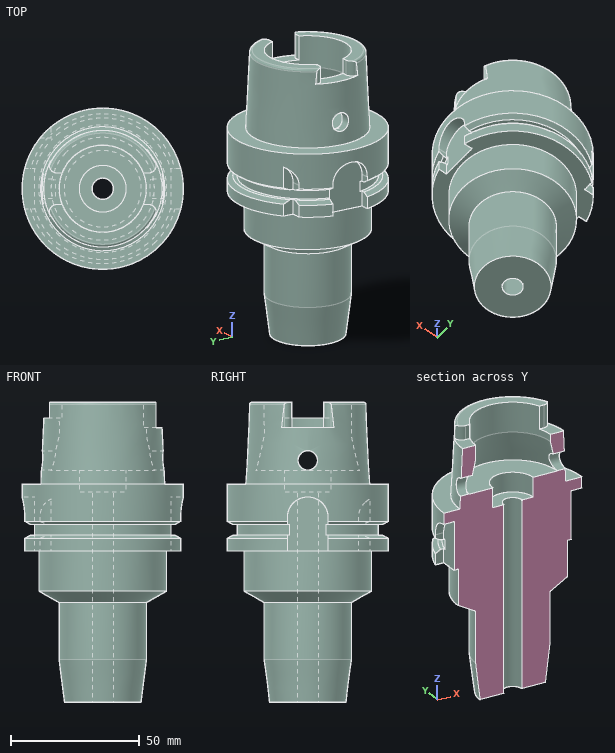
import cadquery as cq
import math

TOTAL_HEIGHT = 117
NOSE_TOP = 16.6
SHANK_TOP = 38.8
BODY_CONE_TOP = 43.3
FLANGE_BOTTOM = 59.0
GROOVE_BOTTOM = 65.2
GROOVE_TOP = 69.3
GROOVE_CHAMFER = 1.3
FLANGE_TOP = 85.1

NOSE_RADIUS = 15.0
SHANK_RADIUS = 17.1
BODY_RADIUS = 24.9
FLANGE_RADIUS = 31.5
GROOVE_RADIUS = 27.6
GROOVE_LIP_RADIUS = 29.2
TAPER_BASE_RADIUS = 24.2
TAPER_TOP_RADIUS = 22.7
RIM_FILLET = 1.0

BORE_RADIUS = 17.0
BORE_LIP_DEPTH = 13.0
UNDERCUT_RADIUS = 20.1
BORE_DEPTH = 26.6
SEAT_RADIUS = 9.1
SEAT_DEPTH = 35.1
THROUGH_RADIUS = 4.1

CROSS_HOLE_RADIUS = 3.7
CROSS_HOLE_Z = TOTAL_HEIGHT - 22.7

RIM_SLOT_WIDTH = 12.3
LEFT_RIM_SLOT_DEPTH = 6.1
RIGHT_RIM_SLOT_DEPTH = 10.0
RIM_SLOT_CORNER_RADIUS = 2.9

KEYWAY_RADIUS = 8.0
KEYWAY_CENTRE_Z = 72.1
KEYWAY_FLOOR_X = 26.7
SIDE_NOTCH_Y = 27.7
SIDE_NOTCH_FLOOR_X = 20.1


def turned_body():
    """Outer shape revolved about Z."""
    outline = [
        (0, 0),
        (NOSE_RADIUS, 0),
        (SHANK_RADIUS, NOSE_TOP),
        (SHANK_RADIUS, SHANK_TOP),
        (BODY_RADIUS, BODY_CONE_TOP),
        (BODY_RADIUS, FLANGE_BOTTOM),
        (FLANGE_RADIUS, FLANGE_BOTTOM),
        (FLANGE_RADIUS, GROOVE_BOTTOM - GROOVE_CHAMFER),
        (GROOVE_LIP_RADIUS, GROOVE_BOTTOM),
        (GROOVE_RADIUS, GROOVE_BOTTOM),
        (GROOVE_RADIUS, GROOVE_TOP),
        (GROOVE_LIP_RADIUS, GROOVE_TOP),
        (FLANGE_RADIUS, GROOVE_TOP + GROOVE_CHAMFER),
        (FLANGE_RADIUS, FLANGE_TOP),
        (TAPER_BASE_RADIUS, FLANGE_TOP),
        (TAPER_TOP_RADIUS, TOTAL_HEIGHT),
        (0, TOTAL_HEIGHT),
    ]
    body = cq.Workplane("XZ").polyline(outline).close().revolve(360, (0, 0), (0, 1))
    return body.faces(">Z").edges().fillet(RIM_FILLET)


def bore():
    """Stepped bore with a chamber that widens downward below its lip."""
    lip_z = TOTAL_HEIGHT - BORE_LIP_DEPTH
    floor_z = TOTAL_HEIGHT - BORE_DEPTH
    seat_z = TOTAL_HEIGHT - SEAT_DEPTH
    outline = [
        (0, 0),
        (THROUGH_RADIUS, 0),
        (THROUGH_RADIUS, seat_z),
        (SEAT_RADIUS, seat_z),
        (SEAT_RADIUS, floor_z),
        (UNDERCUT_RADIUS, floor_z),
        (BORE_RADIUS, lip_z),
        (BORE_RADIUS, TOTAL_HEIGHT),
        (0, TOTAL_HEIGHT),
    ]
    return cq.Workplane("XZ").polyline(outline).close().revolve(360, (0, 0), (0, 1))


def cross_hole():
    """Hole along X through both walls of the taper."""
    return (
        cq.Workplane("YZ")
        .center(0, CROSS_HOLE_Z)
        .circle(CROSS_HOLE_RADIUS)
        .extrude(TAPER_BASE_RADIUS, both=True)
    )


def rim_slot(side, depth):
    """Slot that flares outward with rounded corners; side is -1 or +1 along X."""
    half_width = RIM_SLOT_WIDTH / 2
    corner = RIM_SLOT_CORNER_RADIUS
    arc_y = half_width + corner
    flare_x = math.sqrt(TAPER_TOP_RADIUS ** 2 - arc_y ** 2)
    arc_x = flare_x - corner
    mid_x = arc_x + corner * math.sin(math.pi / 4)
    mid_y = arc_y - corner * math.cos(math.pi / 4)
    return (
        cq.Workplane("XY", origin=(0, 0, TOTAL_HEIGHT - depth))
        .moveTo(0, -half_width)
        .lineTo(side * arc_x, -half_width)
        .threePointArc((side * mid_x, -mid_y), (side * flare_x, -arc_y))
        .lineTo(side * flare_x, -FLANGE_RADIUS)
        .lineTo(side * FLANGE_RADIUS, -FLANGE_RADIUS)
        .lineTo(side * FLANGE_RADIUS, FLANGE_RADIUS)
        .lineTo(side * flare_x, FLANGE_RADIUS)
        .lineTo(side * flare_x, arc_y)
        .threePointArc((side * mid_x, mid_y), (side * arc_x, half_width))
        .lineTo(0, half_width)
        .close()
        .extrude(depth)
    )


def keyway(side, centre_y, floor_x):
    """Round-topped recess open to the flange bottom, with a flat floor facing along X."""
    length = FLANGE_RADIUS - floor_x
    return (
        cq.Workplane("YZ", origin=(side * floor_x, centre_y, 0))
        .moveTo(-KEYWAY_RADIUS, FLANGE_BOTTOM)
        .lineTo(-KEYWAY_RADIUS, KEYWAY_CENTRE_Z)
        .threePointArc((0, KEYWAY_CENTRE_Z + KEYWAY_RADIUS), (KEYWAY_RADIUS, KEYWAY_CENTRE_Z))
        .lineTo(KEYWAY_RADIUS, FLANGE_BOTTOM)
        .close()
        .extrude(side * length)
    )


result = turned_body().cut(bore()).cut(cross_hole())
for side, slot_depth in ((-1, LEFT_RIM_SLOT_DEPTH), (1, RIGHT_RIM_SLOT_DEPTH)):
    result = result.cut(rim_slot(side, slot_depth))
    result = result.cut(keyway(side, 0, KEYWAY_FLOOR_X))
result = result.cut(keyway(-1, SIDE_NOTCH_Y, SIDE_NOTCH_FLOOR_X))